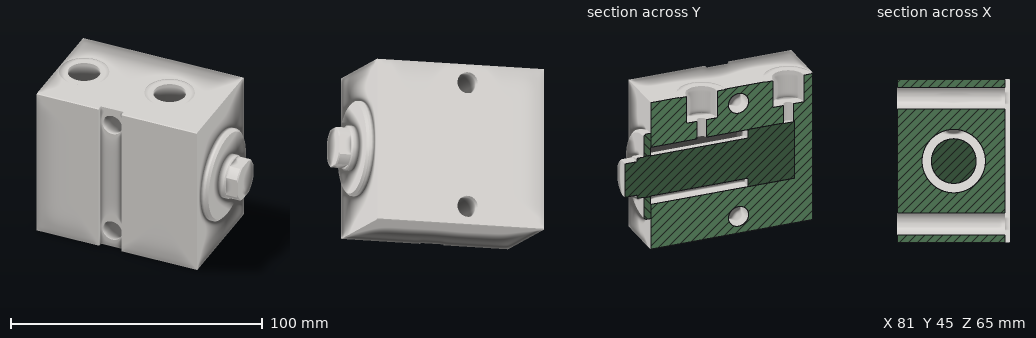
import cadquery as cq


TOTAL_LENGTH = 81.0
BLOCK_LENGTH = 70.0
FLANGE_THICKNESS = 3.0
SHOULDER_LENGTH = 3.0

BLOCK_DEPTH = 45.0
BLOCK_HEIGHT = 65.0
BLOCK_CHAMFER = 0.3

KEYWAY_X = 32.1
KEYWAY_WIDTH = 10.0
KEYWAY_DEPTH = 2.0
MOUNTING_HOLE_DIAMETER = 8.5
MOUNTING_HOLE_SPACING = 50.0

PORT_POSITIONS = (10.5, 47.9)
SPOTFACE_DIAMETER = 20.0
SPOTFACE_DEPTH = 0.2
PORT_DIAMETER = 13.1
PORT_DEPTH = 12.0
OIL_HOLE_DIAMETER = 4.0

BORE_DIAMETER = 25.0
BORE_FLOOR_X = 8.0
PISTON_LENGTH = 20.0

FLANGE_DIAMETER = 38.0
FLANGE_CHAMFER = 1.0

ROD_DIAMETER = 18.0
ROD_CHAMFER = 0.5
ROD_END_DIAMETER = 17.0
ROD_END_ACROSS_FLATS = 15.0

FLANGE_FACE_X = BLOCK_LENGTH + FLANGE_THICKNESS
SHOULDER_X = FLANGE_FACE_X + SHOULDER_LENGTH
PISTON_FACE_X = BORE_FLOOR_X + PISTON_LENGTH
ROD_END_LENGTH = TOTAL_LENGTH - SHOULDER_X
BLOCK_TOP_Z = BLOCK_HEIGHT / 2
BLOCK_FRONT_Y = -BLOCK_DEPTH / 2


def turned(start_x, end_x, diameter):
    """Cylinder along the X axis between two positions."""
    return (
        cq.Workplane("XZ")
        .moveTo(start_x, 0)
        .rect(end_x - start_x, diameter / 2, centered=False)
        .revolve(360, (0, 0, 0), (1, 0, 0))
    )


def drilled_down(x, depth, diameter):
    """Cylinder from the block's top face down to a depth."""
    return (
        cq.Workplane("XY", origin=(x, 0, BLOCK_TOP_Z))
        .circle(diameter / 2)
        .extrude(-depth)
    )


def port_cavity(x):
    """Spotfaced port with an oil hole that reaches the bore."""
    spotface = drilled_down(x, SPOTFACE_DEPTH, SPOTFACE_DIAMETER)
    port = drilled_down(x, PORT_DEPTH, PORT_DIAMETER)
    oil_hole = drilled_down(x, BLOCK_TOP_Z, OIL_HOLE_DIAMETER)
    return spotface.union(port).union(oil_hole)


def keyway_cavity():
    """Slot over the full height of the front face."""
    return cq.Workplane("XY", origin=(KEYWAY_X, BLOCK_FRONT_Y, 0)).box(
        KEYWAY_WIDTH, 2 * KEYWAY_DEPTH, BLOCK_HEIGHT
    )


def mounting_hole_cavities():
    """Two holes through the block from front to back."""
    half_spacing = MOUNTING_HOLE_SPACING / 2
    return (
        cq.Workplane("XZ", origin=(KEYWAY_X, 0, 0))
        .pushPoints([(0, -half_spacing), (0, half_spacing)])
        .circle(MOUNTING_HOLE_DIAMETER / 2)
        .extrude(BLOCK_DEPTH, both=True)
    )


def make_block():
    """Cylinder block with keyway, mounting holes, bore and ports."""
    block = (
        cq.Workplane("XY")
        .box(BLOCK_LENGTH, BLOCK_DEPTH, BLOCK_HEIGHT)
        .edges("|X")
        .chamfer(BLOCK_CHAMFER)
        .translate((BLOCK_LENGTH / 2, 0, 0))
    )
    block = block.cut(keyway_cavity())
    block = block.cut(mounting_hole_cavities())
    block = block.cut(turned(BORE_FLOOR_X, BLOCK_LENGTH, BORE_DIAMETER))
    for x in PORT_POSITIONS:
        block = block.cut(port_cavity(x))
    return block


def make_gland():
    """Round flange that closes the bore and surrounds the rod."""
    flange = turned(BLOCK_LENGTH, FLANGE_FACE_X, FLANGE_DIAMETER)
    flange = flange.faces(">X").edges().chamfer(FLANGE_CHAMFER)
    return flange.cut(turned(BLOCK_LENGTH, FLANGE_FACE_X, ROD_DIAMETER))


def make_piston():
    """Piston with its rod and a square wrench end with rounded corners."""
    head = turned(BORE_FLOOR_X, PISTON_FACE_X, BORE_DIAMETER)
    rod = turned(PISTON_FACE_X, SHOULDER_X, ROD_DIAMETER)
    rod = rod.faces(">X").edges().chamfer(ROD_CHAMFER)
    rod_end = turned(SHOULDER_X, TOTAL_LENGTH, ROD_END_DIAMETER)
    rod_end = rod_end.faces(">X").edges().chamfer(ROD_CHAMFER)
    flats = cq.Workplane("YZ", origin=(SHOULDER_X, 0, 0)).rect(
        ROD_END_ACROSS_FLATS, ROD_END_ACROSS_FLATS
    ).extrude(ROD_END_LENGTH)
    return head.union(rod).union(rod_end.intersect(flats))


block = make_block()
gland = make_gland()
piston = make_piston()

result = cq.Compound.makeCompound([block.val(), gland.val(), piston.val()])